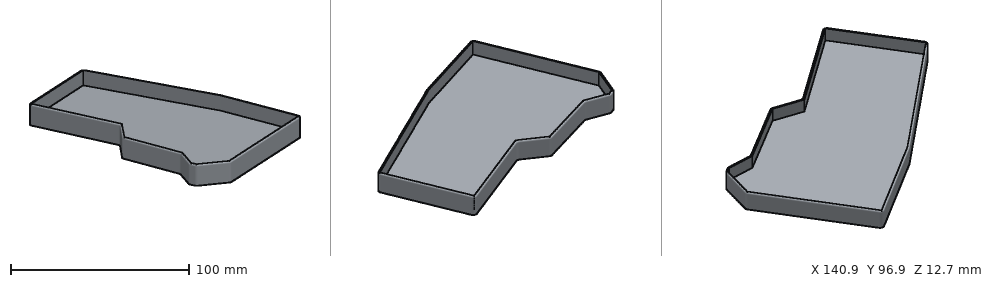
import cadquery as cq

length = 140.9
width = 96.91
height = 12.7

wall = 1.27
floor = 3.5
corner_radius = 2.54
rim_radius = 1.0

front_edge_y = 30.2
left_back_y = 90.1
apex_x = 86.5
right_back_y = 92.8
spur_right_y = 14.3
spur_tip_right_x = 126.8
spur_tip_left_x = 122.3
spur_root = (110.2, 10.7)
step_outer = (70.4, 14.2)
step_inner_x = 59.5

outline = [
    (0, front_edge_y),
    (step_inner_x, front_edge_y),
    step_outer,
    spur_root,
    (spur_tip_left_x, 0),
    (spur_tip_right_x, 0),
    (length, spur_right_y),
    (length, right_back_y),
    (apex_x, width),
    (0, left_back_y),
]


def make_body():
    """Solid block with rounded upright corners and a rounded top edge."""
    block = cq.Workplane("XY").polyline(outline).close().extrude(height)
    block = block.edges("|Z").fillet(corner_radius)
    return block.faces(">Z").edges().fillet(rim_radius)


def make_cavity():
    """Sharp-cornered pocket that leaves an even wall and a flat floor."""
    return (
        cq.Workplane("XY")
        .workplane(offset=floor)
        .polyline(outline)
        .close()
        .offset2D(-wall, "intersection")
        .extrude(height - floor)
    )


result = make_body().cut(make_cavity())